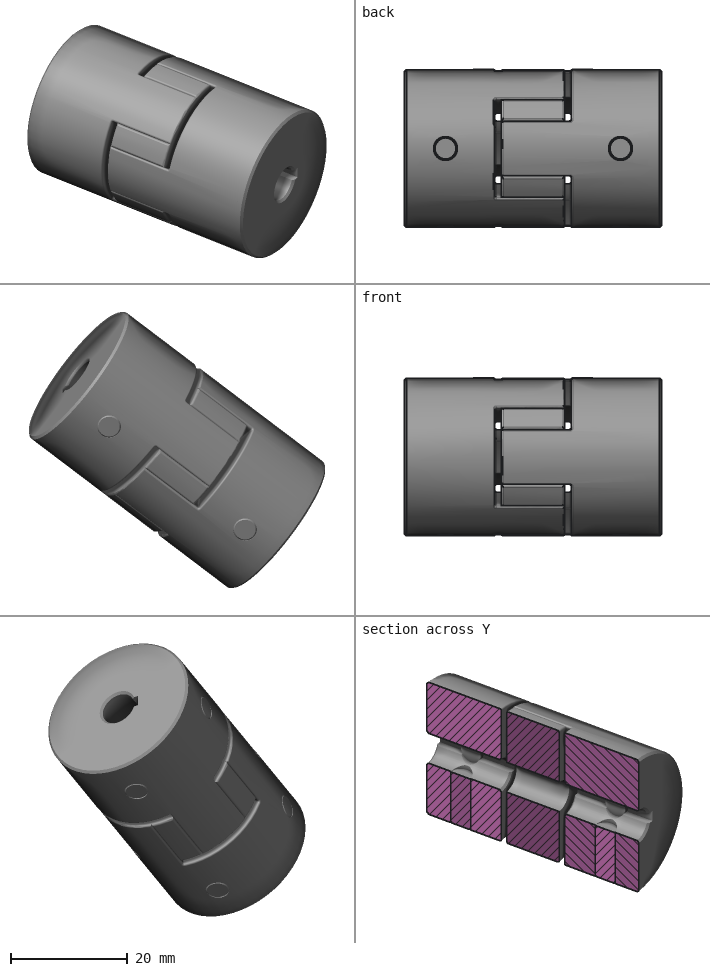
import cadquery as cq
import math


half_length = 22.0
outer_radius = 13.5
end_chamfer = 0.4

jaw_tip_x = 5.45
axial_gap = 1.05
hub_face_x = jaw_tip_x + axial_gap

jaws_per_hub = 3
jaw_pitch = 360.0 / jaws_per_hub
half_pitch = jaw_pitch / 2
jaw_inner_radius = 8.95
flank_radius = 8.85
flank_centre_radius = 13.2
jaw_rim_fillet = 0.3
jaw_inner_fillet = 0.15
jaw_root_fillet = 0.25

bore_radius = 3.0
bore_chamfer = 0.4
keyway_width = 2.02
keyway_floor_radius = 4.0

screw_radius = 2.02
screw_tip_radius = 3.1
screw_end_chamfer = 0.2
screw_x = 14.95
screw_angles = (0, -90)

pad_outer_radius = 13.45
pad_fillet = 0.4

overcut = 0.45
cutter_radius = outer_radius + overcut
tolerance = 0.005


def polar(radius, angle):
    """Y and Z of a point at this distance and angle around the shaft axis."""
    return radius * math.cos(math.radians(angle)), radius * math.sin(math.radians(angle))


def shaft_cylinder(radius, x_start, x_end):
    """Solid cylinder on the shaft axis."""
    return cq.Workplane("YZ", origin=(x_start, 0, 0)).circle(radius).extrude(x_end - x_start)



def edge_points(edge):
    """Start, middle and end of an edge."""
    return [edge.positionAt(t) for t in (0, 0.5, 1)]


def on_cylinder(edge, radius):
    """True for an edge that lies wholly on a cylinder around the shaft axis."""
    return all(abs(math.hypot(p.y, p.z) - radius) < tolerance for p in edge_points(edge))


def is_jaw_inner_corner(edge):
    """Edge along X where a jaw flank meets the inner face of the jaw."""
    start, _, end = edge_points(edge)
    return abs(start.x - end.x) > axial_gap and on_cylinder(edge, jaw_inner_radius)


def is_jaw_root(edge):
    """Edge where a jaw grows out of the hub face."""
    in_hub_face = all(abs(p.x + hub_face_x) < tolerance for p in edge_points(edge))
    return in_hub_face and not on_cylinder(edge, outer_radius)


def is_jaw_rim(edge):
    """Edge on the outer surface, around the jaws and the hub face between them."""
    in_jaw_zone = all(p.x > -hub_face_x - tolerance for p in edge_points(edge))
    return in_jaw_zone and on_cylinder(edge, outer_radius)


def is_pad_rim(edge):
    return on_cylinder(edge, pad_outer_radius)


def is_bore_rim(edge):
    return edge.geomType() == "CIRCLE" and on_cylinder(edge, bore_radius)


def pick_edges(body, condition):
    return body.newObject([edge for edge in body.edges().vals() if condition(edge)])



def jaw_half_angle(radius):
    """Half of the angle that a jaw spans at a given distance from the shaft axis."""
    cosine = (radius**2 + flank_centre_radius**2 - flank_radius**2) / (2 * radius * flank_centre_radius)
    return half_pitch - math.degrees(math.acos(cosine))


def jaw_prism(angle):
    """Jaw cross-section along the whole jaw zone, running out past the outer surface."""
    middle_radius = (jaw_inner_radius + cutter_radius) / 2
    inner_half = jaw_half_angle(jaw_inner_radius)
    middle_half = jaw_half_angle(middle_radius)
    outer_half = jaw_half_angle(cutter_radius)
    return (
        cq.Workplane("YZ", origin=(-hub_face_x, 0, 0))
        .moveTo(*polar(jaw_inner_radius, angle - inner_half))
        .threePointArc(polar(middle_radius, angle - middle_half), polar(cutter_radius, angle - outer_half))
        .threePointArc(polar(cutter_radius, angle), polar(cutter_radius, angle + outer_half))
        .threePointArc(polar(middle_radius, angle + middle_half), polar(jaw_inner_radius, angle + inner_half))
        .threePointArc(polar(jaw_inner_radius, angle), polar(jaw_inner_radius, angle - inner_half))
        .close()
        .extrude(2 * hub_face_x)
    )



def set_screw(angle):
    """Set screw of the -X hub, chamfered at its outer end."""
    return (
        cq.Workplane("XY", origin=(-screw_x, 0, screw_tip_radius))
        .circle(screw_radius)
        .extrude(outer_radius - screw_tip_radius)
        .faces(">Z")
        .chamfer(screw_end_chamfer)
        .rotate((0, 0, 0), (1, 0, 0), angle - 90)
    )


def screw_hole(angle):
    """Cutter for the set-screw hole, from the shaft axis outwards."""
    return (
        cq.Workplane("XY", origin=(-screw_x, 0, 0))
        .circle(screw_radius)
        .extrude(cutter_radius)
        .rotate((0, 0, 0), (1, 0, 0), angle - 90)
    )



def jawed_blank(first_jaw_angle):
    """Solid hub on the -X side with its jaws."""
    blank = shaft_cylinder(outer_radius, -half_length, jaw_tip_x).faces("<X").chamfer(end_chamfer)
    clearance = shaft_cylinder(cutter_radius, -hub_face_x, jaw_tip_x)
    for i in range(jaws_per_hub):
        clearance = clearance.cut(jaw_prism(first_jaw_angle + i * jaw_pitch))
    blank = blank.cut(clearance)
    blank = pick_edges(blank, is_jaw_inner_corner).fillet(jaw_inner_fillet)
    blank = pick_edges(blank, is_jaw_root).fillet(jaw_root_fillet)
    return pick_edges(blank, is_jaw_rim).fillet(jaw_rim_fillet)


def keyway_cutter():
    """Slot from the shaft axis to the keyway floor on the +Y side of the bore."""
    return cq.Workplane("XY", origin=(-half_length, 0, 0)).box(
        half_length - hub_face_x, keyway_floor_radius, keyway_width, centered=(False, False, True)
    )


def hub(first_jaw_angle):
    """Complete hub on the -X side."""
    body = jawed_blank(first_jaw_angle).cut(shaft_cylinder(bore_radius, -half_length, -hub_face_x))
    body = pick_edges(body, is_bore_rim).chamfer(bore_chamfer)
    body = body.cut(keyway_cutter())
    for angle in screw_angles:
        body = body.cut(screw_hole(angle))
    return body



def spider():
    """Ring with one lens-shaped pad between each pair of neighbouring jaws."""
    body = shaft_cylinder(pad_outer_radius, -jaw_tip_x, jaw_tip_x)
    for i in range(2 * jaws_per_hub):
        body = body.cut(jaw_prism(i * half_pitch))
    body = pick_edges(body, is_pad_rim).fillet(pad_fillet)
    return body.cut(shaft_cylinder(bore_radius, -jaw_tip_x, jaw_tip_x))



left_hub = hub(0)
right_hub = hub(half_pitch).mirror("YZ")
pad_spider = spider()
left_screws = [set_screw(angle) for angle in screw_angles]
right_screws = [screw.mirror("YZ") for screw in left_screws]

result = cq.Compound.makeCompound([
    left_hub.val(),
    right_hub.val(),
    pad_spider.val(),
    *[screw.val() for screw in left_screws + right_screws],
])